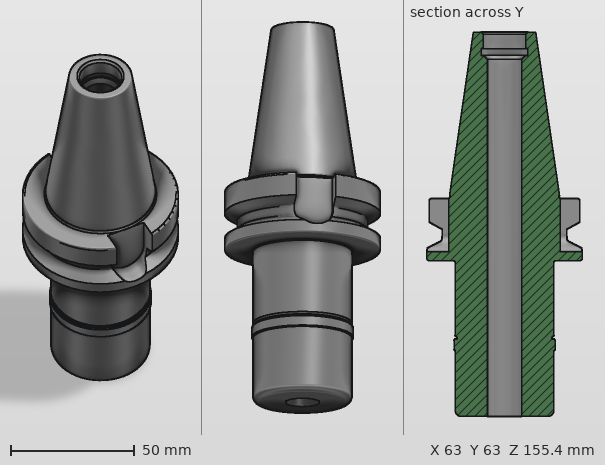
import cadquery as cq
import math

total_height = 155.4
gauge_z = 90.0
flange_top_z = 88.1
flange_bottom_z = 63.0

taper_ratio = 7 / 24
gauge_radius = 22.2
tip_radius = gauge_radius - taper_ratio / 2 * (total_height - gauge_z)
tip_fillet = 0.8

neck_relief_depth = 0.3
neck_flare = 0.5

flange_diameter = 63.0
flange_radius = flange_diameter / 2
flange_fillet = 1.0
groove_radius = 26.4
groove_center_z = 73.3
groove_floor_width = 4.5
groove_flank_angle = 30.0
groove_fillet = 0.5

slot_width = 16.2
slot_floor_distance = 22.5
slot_bottom_z = 66.7

body_radius = 20.0
body_bottom_fillet = 2.6
body_top_flare = 0.5
ring_radius = 20.5
ring_bottom_z = 26.5
ring_top_z = 31.4
ring_chamfer = 0.5
ring_relief_depth = 0.8
ring_relief_height = 1.4

hole_radius = 6.8
counterbore_radius = 8.5
counterbore_depth = 6.8
undercut_depth = 0.8
undercut_height = 2.6
mouth_chamfer = 1.0
seat_height = counterbore_radius - hole_radius


def revolve_profile(points):
    """Turn a closed outline of (radius, z) points around the Z axis."""
    return cq.Workplane("XZ").polyline(points).close().revolve(360, (0, 0), (0, 1))


def make_disc(radius, bottom_z, top_z):
    """Plain cylinder on the Z axis."""
    return cq.Workplane("XY").workplane(offset=bottom_z).circle(radius).extrude(top_z - bottom_z)


def make_shank():
    """Taper with a short neck and V relief that runs out onto the flange."""
    relief_z = flange_top_z + neck_flare + neck_relief_depth
    shank = revolve_profile([
        (0, flange_top_z),
        (gauge_radius + neck_flare, flange_top_z),
        (gauge_radius - neck_relief_depth, relief_z),
        (gauge_radius, relief_z + neck_relief_depth),
        (gauge_radius, gauge_z),
        (tip_radius, total_height),
        (0, total_height),
    ])
    return shank.faces(">Z").edges().fillet(tip_fillet)


def make_groove():
    """V groove around the flange, with rounded inner corners."""
    flank_height = (flange_radius - groove_radius) * math.tan(math.radians(groove_flank_angle))
    floor_half = groove_floor_width / 2
    mouth_half = floor_half + flank_height
    groove = revolve_profile([
        (groove_radius, groove_center_z - floor_half),
        (flange_radius, groove_center_z - mouth_half),
        (flange_radius, groove_center_z + mouth_half),
        (groove_radius, groove_center_z + floor_half),
    ])
    inner_corners = cq.selectors.RadiusNthSelector(0)
    return groove.edges("%CIRCLE").edges(inner_corners).fillet(groove_fillet)


def make_slot(side):
    """Upright slot with a round lower end, cut in from the +X (1) or -X (-1) side."""
    slot_radius = slot_width / 2
    arc_center_z = slot_bottom_z + slot_radius
    return (
        cq.Workplane("YZ")
        .workplane(offset=side * slot_floor_distance)
        .moveTo(-slot_radius, flange_top_z)
        .lineTo(-slot_radius, arc_center_z)
        .threePointArc((0, slot_bottom_z), (slot_radius, arc_center_z))
        .lineTo(slot_radius, flange_top_z)
        .close()
        .extrude(side * flange_radius)
    )


def make_flange():
    """Disc with a V groove around it and two opposite drive slots."""
    flange = make_disc(flange_radius, flange_bottom_z, flange_top_z)
    flange = flange.faces("<Z or >Z").edges().fillet(flange_fillet)
    flange = flange.cut(make_groove())
    for side in (-1, 1):
        flange = flange.cut(make_slot(side))
    return flange


def make_body():
    """Lower cylinder with a raised ring, the relief above it and a flared top."""
    relief_radius = body_radius - ring_relief_depth
    relief_top_z = ring_top_z + ring_relief_height
    body = revolve_profile([
        (0, 0),
        (body_radius, 0),
        (body_radius, ring_top_z),
        (relief_radius, ring_top_z),
        (relief_radius, relief_top_z - ring_relief_depth),
        (body_radius, relief_top_z),
        (body_radius, flange_bottom_z - body_top_flare),
        (body_radius + body_top_flare, flange_bottom_z),
        (0, flange_bottom_z),
    ])
    body = body.faces("<Z").edges().fillet(body_bottom_fillet)
    ring = make_disc(ring_radius, ring_bottom_z, ring_top_z).edges().chamfer(ring_chamfer)
    return body.union(ring)


def make_bore():
    """Through hole with a conical seat, an undercut and a chamfered counterbore on top."""
    undercut_radius = counterbore_radius + undercut_depth
    undercut_top_z = total_height - counterbore_depth
    seat_top_z = undercut_top_z - undercut_height
    return revolve_profile([
        (0, 0),
        (hole_radius, 0),
        (hole_radius, seat_top_z - seat_height),
        (counterbore_radius, seat_top_z),
        (undercut_radius, seat_top_z),
        (undercut_radius, undercut_top_z),
        (counterbore_radius, undercut_top_z),
        (counterbore_radius, total_height - mouth_chamfer),
        (counterbore_radius + mouth_chamfer, total_height),
        (0, total_height),
    ])


result = make_shank().union(make_flange()).union(make_body()).cut(make_bore())